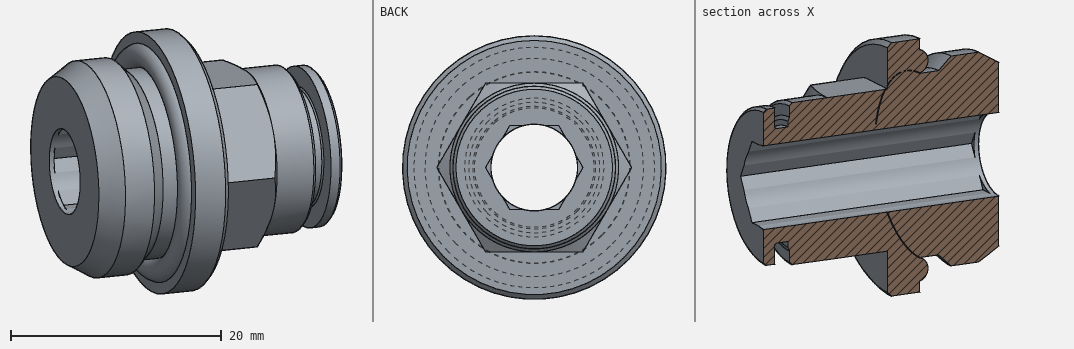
import cadquery as cq
import math


plug_chamfer_end = 2.2
plug_end = 5.15
neck_start = 6.5
flange_front = 8.5
flange_back = 12.0
hex_back = 18.5
body_back = 22.53
lip_back = 22.68
collar_front = 24.08
total_length = 25.3

end_face_radius = 9.05
plug_radius = 10.36
neck_radius = 9.1
flange_radius = 12.5
body_radius = 8.0
lip_base_radius = 6.6
lip_top_radius = 6.2
sleeve_radius = 5.67
collar_radius = 7.72

flange_chamfer = 0.45
body_chamfer = 0.3
collar_chamfer = 0.3
collar_root_chamfer = 0.15

ring_section_radius = 1.2
ring_exposed_height = 0.9
ring_radius = 10.25

hex_sides = 6
hex_across_flats = 16.0
hex_chamfer_angle = 30.0

bore_diameter = 8.2
socket_across_flats = 8.0
socket_start = 0.5


def corner_diameter(across_flats):
    return across_flats / math.cos(math.pi / hex_sides)


def hex_prism(across_flats, y_start, y_end):
    """Hexagonal bar along Y with two corners on the X axis."""
    return (
        cq.Workplane("XZ", origin=(0, y_start, 0))
        .polygon(hex_sides, corner_diameter(across_flats))
        .extrude(y_start - y_end)
    )


def revolve_about_y(profile):
    """Turn a closed (Y, radius) profile about the Y axis."""
    return profile.close().revolve(360, (0, 0, 0), (1, 0, 0))


def turned_body():
    ring_center_y = flange_front - ring_exposed_height + ring_section_radius
    ring_sink = ring_center_y - flange_front
    ring_half_width = math.sqrt(ring_section_radius**2 - ring_sink**2)
    profile = (
        cq.Workplane("YZ")
        .lineTo(0, end_face_radius)
        .lineTo(plug_chamfer_end, plug_radius)
        .lineTo(plug_end, plug_radius)
        .lineTo(neck_start, neck_radius)
        .lineTo(flange_front, neck_radius)
        .lineTo(flange_front, ring_radius - ring_half_width)
        .threePointArc(
            (flange_front - ring_exposed_height, ring_radius),
            (flange_front, ring_radius + ring_half_width),
        )
        .lineTo(flange_front, flange_radius)
        .lineTo(flange_back - flange_chamfer, flange_radius)
        .lineTo(flange_back, flange_radius - flange_chamfer)
        .lineTo(flange_back, body_radius)
        .lineTo(body_back - body_chamfer, body_radius)
        .lineTo(body_back, body_radius - body_chamfer)
        .lineTo(body_back, lip_base_radius)
        .lineTo(lip_back, lip_top_radius)
        .lineTo(lip_back, sleeve_radius)
        .lineTo(collar_front - collar_root_chamfer, sleeve_radius)
        .lineTo(collar_front, sleeve_radius + collar_root_chamfer)
        .lineTo(collar_front, collar_radius)
        .lineTo(total_length - collar_chamfer, collar_radius)
        .lineTo(total_length, collar_radius - collar_chamfer)
        .lineTo(total_length, 0)
    )
    return revolve_about_y(profile)


def wrench_hex():
    """Hexagon with its back corners chamfered by a cone starting at the flats."""
    slope = math.tan(math.radians(hex_chamfer_angle))
    cone_height = (flange_radius - body_radius) * slope
    envelope = revolve_about_y(
        cq.Workplane("YZ")
        .moveTo(flange_back, 0)
        .lineTo(flange_back, flange_radius)
        .lineTo(hex_back - cone_height, flange_radius)
        .lineTo(hex_back, hex_across_flats / 2)
        .lineTo(hex_back, 0)
    )
    return hex_prism(hex_across_flats, flange_back, hex_back).intersect(envelope)


def through_bore():
    return cq.Workplane("XZ").circle(bore_diameter / 2).extrude(-total_length)


def key_socket():
    return hex_prism(socket_across_flats, socket_start, total_length)


result = turned_body().union(wrench_hex()).cut(through_bore()).cut(key_socket())